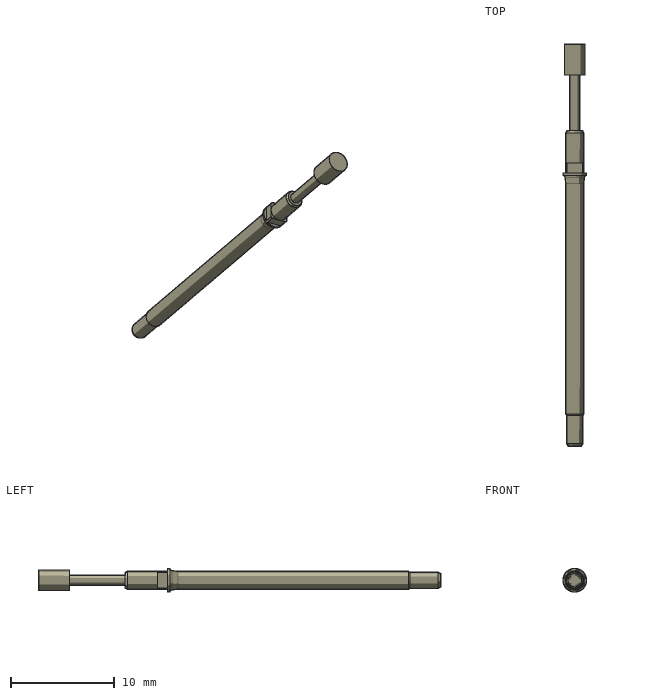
import cadquery as cq
import math

total_length = 38.8

tail_diameter = 1.6
barrel_diameter = 1.75
press_ring_diameter = 1.9
flange_diameter = 2.3
plunger_diameter = 1.0
head_diameter = 2.0

tail_length = 3.0
barrel_length = 22.35
press_ring_length = 0.62
flange_rim_length = 0.25
wrench_length = 0.95
collar_length = 3.15
head_length = 3.0

tail_chamfer_radial = 0.15
tail_chamfer_length = 0.27
barrel_chamfer_length = 0.1
collar_chamfer_radial = 0.1
collar_chamfer_length = 0.25

wrench_width = 1.75

barrel_start = tail_length
press_ring_start = barrel_start + barrel_length
fillet_start = press_ring_start + press_ring_length
fillet_radius = (flange_diameter - press_ring_diameter) / 2
rim_start = fillet_start + fillet_radius
wrench_start = rim_start + flange_rim_length
wrench_end = wrench_start + wrench_length
collar_end = wrench_end + collar_length
head_start = total_length - head_length


def turned_body():
    """Revolve the (radius, y) profile of every round section about the Y axis."""
    tail_radius = tail_diameter / 2
    barrel_radius = barrel_diameter / 2
    press_ring_radius = press_ring_diameter / 2
    flange_radius = flange_diameter / 2
    plunger_radius = plunger_diameter / 2
    head_radius = head_diameter / 2
    arc_drop = fillet_radius * math.sqrt(0.5)
    fillet_middle = (flange_radius - arc_drop, fillet_start + arc_drop)
    profile = (
        cq.Workplane("XY")
        .moveTo(0, 0)
        .lineTo(tail_radius - tail_chamfer_radial, 0)
        .lineTo(tail_radius, tail_chamfer_length)
        .lineTo(tail_radius, barrel_start)
        .lineTo(barrel_radius, barrel_start + barrel_chamfer_length)
        .lineTo(barrel_radius, press_ring_start)
        .lineTo(press_ring_radius, fillet_start)
        .threePointArc(fillet_middle, (flange_radius, rim_start))
        .lineTo(flange_radius, wrench_start)
        .lineTo(barrel_radius, wrench_start)
        .lineTo(barrel_radius, collar_end - collar_chamfer_length)
        .lineTo(barrel_radius - collar_chamfer_radial, collar_end)
        .lineTo(plunger_radius, collar_end)
        .lineTo(plunger_radius, head_start)
        .lineTo(head_radius, head_start)
        .lineTo(head_radius, total_length)
        .lineTo(0, total_length)
        .close()
    )
    return profile.revolve(360, (0, 0, 0), (0, 1, 0))


def wrench_block():
    """Square block beside the flange, with its corners trimmed to the flange diameter."""
    plane = cq.Workplane("XZ", origin=(0, wrench_start, 0))
    square = plane.rect(wrench_width, wrench_width).extrude(-wrench_length)
    envelope = plane.circle(flange_diameter / 2).extrude(-wrench_length)
    return square.intersect(envelope)


result = turned_body().union(wrench_block())